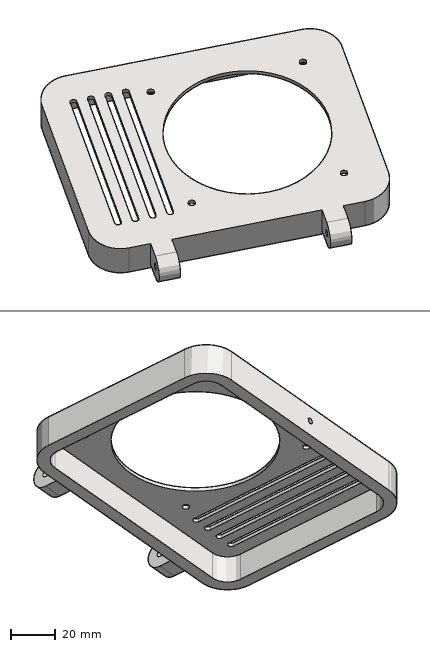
import cadquery as cq

body_width = 110.0
body_length = 140.0
body_height = 16.0
corner_radius = 15.0
wall = 6.0
top_thickness = 2.0

fan_center_y = 15.0
fan_diameter = 76.0
screw_spacing = 71.0
screw_diameter = 3.2

slot_count = 4
slot_length = 80.0
slot_width = 3.1
slot_pitch = 8.1
first_slot_y = -31.4

lug_reach = 15.0
lug_radius = 7.0
lug_width = 10.0
lug_spacing = 80.0
lug_hole_diameter = 3.2

side_hole_diameter = 2.8
side_hole_z = body_height / 2


def make_shell():
    outer = (
        cq.Workplane("XY")
        .rect(body_width, body_length)
        .extrude(body_height)
        .edges("|Z")
        .fillet(corner_radius)
    )
    cavity = (
        cq.Workplane("XY")
        .rect(body_width - 2 * wall, body_length - 2 * wall)
        .extrude(body_height - top_thickness)
        .edges("|Z")
        .fillet(corner_radius - wall)
    )
    return outer.cut(cavity)


def make_lug(center_y):
    """Plate standing in the XZ plane with a round end and a pin hole along Y."""
    root_x = body_width / 2 - wall / 2
    pin_x = body_width / 2 + lug_reach - lug_radius
    pin_z = body_height - lug_radius
    profile_plane = cq.Workplane("XZ", origin=(0, center_y + lug_width / 2, 0))
    return (
        profile_plane
        .moveTo(root_x, pin_z - lug_radius)
        .lineTo(pin_x, pin_z - lug_radius)
        .threePointArc((pin_x + lug_radius, pin_z), (pin_x, pin_z + lug_radius))
        .lineTo(root_x, pin_z + lug_radius)
        .close()
        .moveTo(pin_x, pin_z)
        .circle(lug_hole_diameter / 2)
        .extrude(lug_width)
    )


def make_top_openings():
    top = cq.Workplane("XY").center(0, fan_center_y)
    fan = top.circle(fan_diameter / 2).extrude(body_height)
    screws = (
        top.rect(screw_spacing, screw_spacing, forConstruction=True)
        .vertices()
        .circle(screw_diameter / 2)
        .extrude(body_height)
    )
    slot_centers = [(0, first_slot_y - i * slot_pitch) for i in range(slot_count)]
    slots = (
        cq.Workplane("XY")
        .pushPoints(slot_centers)
        .slot2D(slot_length, slot_width)
        .extrude(body_height)
    )
    return fan.union(screws).union(slots)


def make_side_hole():
    return (
        cq.Workplane("YZ", origin=(-body_width / 2, 0, side_hole_z))
        .circle(side_hole_diameter / 2)
        .extrude(wall)
    )


result = make_shell()
for side in (-1, 1):
    result = result.union(make_lug(side * lug_spacing / 2))
result = result.cut(make_top_openings()).cut(make_side_hole())